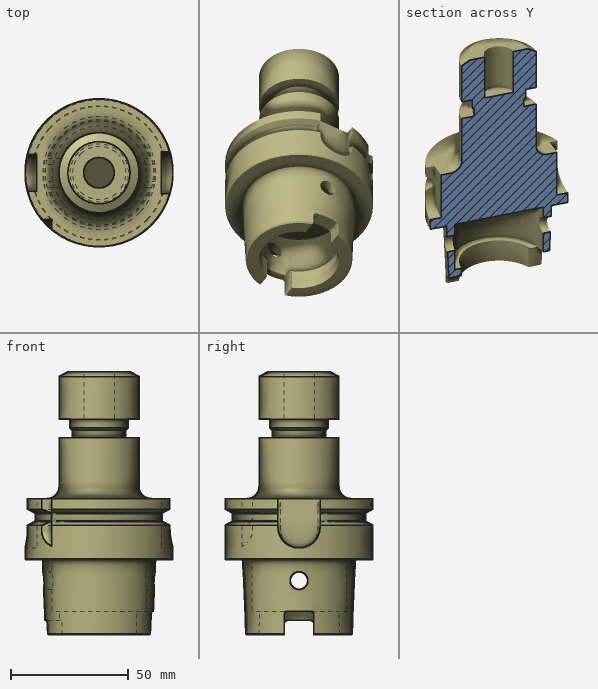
import cadquery as cq

total_height = 112.0
shank_height = 32.0
flange_top = 58.0
neck_bottom = 83.9
nut_bottom = 91.8

shank_top_radius = 24.1
shank_bottom_radius = 22.7
shank_edge = 0.6

flange_radius = 31.5
flange_edge = 0.3
groove_radius = 28.3
groove_bottom = 48.3
groove_top = 51.9
groove_flare = 1.7
groove_fillet = 0.5

stem_radius = 17.0
stem_fillet = 5.0
neck_radius = 11.3
collar_radius = 12.4
collar_bottom = 88.1
collar_flare = 1.1
nut_top_radius = 13.2
nut_bevel_height = 2.1

bore_radius = 6.5
bore_depth = total_height - nut_bottom

keyway_floor = 26.4
left_keyway_width = 15.9
right_keyway_width = 17.9
keyway_bottom = 37.0
notch_x = -20.0
notch_y = -19.8
notch_width = 15.9

slot_width = 12.5
left_slot_height = 6.2
right_slot_height = 10.0
slot_corner = 1.3
cross_hole_radius = 3.7
cross_hole_height = 23.1

mouth_radius = 17.0
mouth_height = right_slot_height
hollow_radius = 20.0
hollow_depth = shank_height


def turned_body():
    profile = (
        cq.Workplane("XZ")
        .lineTo(shank_bottom_radius - shank_edge, 0)
        .lineTo(shank_bottom_radius, shank_edge)
        .lineTo(shank_top_radius, shank_height)
        .lineTo(flange_radius - flange_edge, shank_height)
        .lineTo(flange_radius, shank_height + flange_edge)
        .lineTo(flange_radius, groove_bottom - groove_flare)
        .lineTo(groove_radius, groove_bottom)
        .lineTo(groove_radius, groove_top)
        .lineTo(flange_radius, groove_top + groove_flare)
        .lineTo(flange_radius, flange_top)
        .lineTo(stem_radius + stem_fillet, flange_top)
        .radiusArc((stem_radius, flange_top + stem_fillet), stem_fillet)
        .lineTo(stem_radius, neck_bottom)
        .lineTo(neck_radius, neck_bottom)
        .lineTo(neck_radius, collar_bottom - collar_flare)
        .lineTo(collar_radius, collar_bottom)
        .lineTo(collar_radius, nut_bottom)
        .lineTo(stem_radius, nut_bottom)
        .lineTo(stem_radius, total_height - nut_bevel_height)
        .lineTo(nut_top_radius, total_height)
        .lineTo(0, total_height)
        .close()
    )
    body = profile.revolve(360, (0, 0), (0, 1))
    groove_corners = cq.selectors.BoxSelector(
        (-flange_radius, -flange_radius, groove_bottom - groove_fillet),
        (flange_radius, flange_radius, groove_top + groove_fillet),
    )
    return body.edges(groove_corners).edges("%CIRCLE").fillet(groove_fillet)


def shank_hollow():
    mouth = cq.Workplane("XY").circle(mouth_radius).extrude(mouth_height)
    chamber = cq.Workplane("XY", origin=(0, 0, mouth_height)).circle(hollow_radius)
    return mouth.union(chamber.extrude(hollow_depth - mouth_height))


def tool_bore():
    bore_floor = cq.Workplane("XY").workplane(offset=total_height - bore_depth)
    return bore_floor.circle(bore_radius).extrude(bore_depth)


def keyway(side, floor, width, center_y=0.0):
    """Upright round-bottomed cutter reaching outward along X from the floor."""
    radius = width / 2
    arc_height = keyway_bottom + radius
    outline = (
        cq.Workplane("YZ", origin=(floor, 0, 0))
        .moveTo(center_y - radius, flange_top)
        .lineTo(center_y - radius, arc_height)
        .threePointArc((center_y, keyway_bottom), (center_y + radius, arc_height))
        .lineTo(center_y + radius, flange_top)
        .close()
    )
    return outline.extrude(side * flange_radius)


def drive_slot(side, height):
    """Slot open at the bottom of the shank, from the axis out to one side."""
    outline = cq.Workplane("XY").box(flange_radius, slot_width, 2 * height)
    return outline.edges("|X and >Z").fillet(slot_corner).translate((side * flange_radius / 2, 0, 0))


def cross_hole():
    return (
        cq.Workplane("YZ", origin=(-flange_radius, 0, 0))
        .center(0, cross_hole_height)
        .circle(cross_hole_radius)
        .extrude(2 * flange_radius)
    )


result = (
    turned_body()
    .cut(tool_bore())
    .cut(shank_hollow())
    .cut(keyway(-1, -keyway_floor, left_keyway_width))
    .cut(keyway(1, keyway_floor, right_keyway_width))
    .cut(keyway(-1, notch_x, notch_width, notch_y - notch_width / 2))
    .cut(drive_slot(-1, left_slot_height))
    .cut(drive_slot(1, right_slot_height))
    .cut(cross_hole())
)